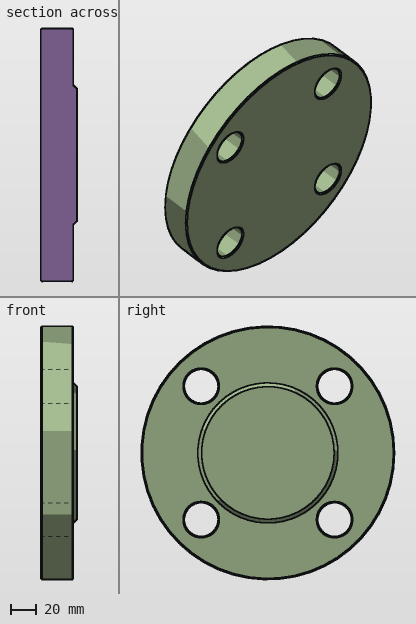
import cadquery as cq

flange_diameter = 195.0
total_thickness = 28.0
raised_face_height = 3.0
raised_face_diameter = 102.0
rim_chamfer = 1.0
bolt_circle_diameter = 145.0
bolt_hole_diameter = 26.0
bolt_hole_count = 4
first_bolt_angle = 45.0
hole_chamfer = 1.0

plate_thickness = total_thickness - raised_face_height
raised_face_base_diameter = raised_face_diameter + 2 * raised_face_height


def make_plate():
    """Round plate with its back face at X = 0 and both rims chamfered."""
    plate = cq.Workplane("YZ").circle(flange_diameter / 2).extrude(plate_thickness)
    return plate.faces("<X or >X").edges().chamfer(rim_chamfer)


def make_raised_face():
    """Sealing face that tapers toward +X."""
    profile = [
        (plate_thickness, 0),
        (plate_thickness, raised_face_base_diameter / 2),
        (total_thickness, raised_face_diameter / 2),
        (total_thickness, 0),
    ]
    return cq.Workplane("XY").polyline(profile).close().revolve(360, (0, 0, 0), (1, 0, 0))


def drill_bolt_holes(flange):
    """Through holes on the bolt circle, chamfered at both ends."""
    radius = bolt_hole_diameter / 2
    mouth_radius = radius + hole_chamfer
    cutter_profile = [
        (0, 0),
        (0, mouth_radius),
        (hole_chamfer, radius),
        (plate_thickness - hole_chamfer, radius),
        (plate_thickness, mouth_radius),
        (plate_thickness, 0),
    ]
    cutter = cq.Workplane("XY").polyline(cutter_profile).close().revolve(360, (0, 0, 0), (1, 0, 0))
    cutter = cutter.translate((0, bolt_circle_diameter / 2, 0))
    for index in range(bolt_hole_count):
        angle = first_bolt_angle + index * 360 / bolt_hole_count
        flange = flange.cut(cutter.rotate((0, 0, 0), (1, 0, 0), angle))
    return flange


result = drill_bolt_holes(make_plate().union(make_raised_face()))